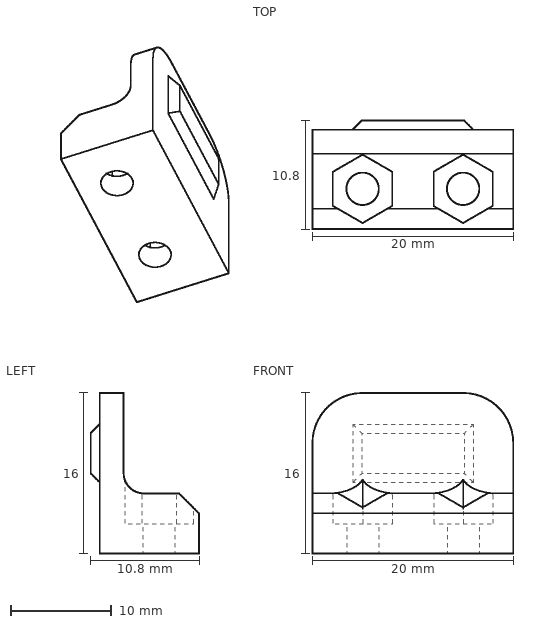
import cadquery as cq

width = 20.0
height = 16.0
total_depth = 10.8
pad_thickness = 0.9
body_depth = total_depth - pad_thickness

wall_thickness = 2.4
wall_front = body_depth - wall_thickness
wall_corner_radius = 5.0
foot_height = 6.0
foot_chamfer = 2.0
inner_fillet_radius = 2.0

hole_diameter = 3.2
hole_spacing = 10.0
hole_y = 4.0
nut_across_corners = 6.8
nut_floor = 3.0

pad_outer_width = 10.2
pad_outer_height = 4.0
pad_base_width = pad_outer_width + 2 * pad_thickness
pad_base_height = pad_outer_height + 2 * pad_thickness
pad_center_z = 10.0


def make_bracket():
    """L-shaped body with a chamfered foot, a filleted inner corner and a rounded wall top."""
    profile = (
        cq.Workplane("YZ")
        .moveTo(0, 0)
        .lineTo(body_depth, 0)
        .lineTo(body_depth, height)
        .lineTo(wall_front, height)
        .lineTo(wall_front, foot_height + inner_fillet_radius)
        .radiusArc((wall_front - inner_fillet_radius, foot_height), inner_fillet_radius)
        .lineTo(foot_chamfer, foot_height)
        .lineTo(0, foot_height - foot_chamfer)
        .close()
    )
    body = profile.extrude(width / 2, both=True)
    return body.faces(">Z").edges("|Y").fillet(wall_corner_radius)


def make_pad():
    """Rectangular frustum standing on the back face of the wall."""
    back_face = cq.Workplane("XZ", origin=(0, body_depth, pad_center_z))
    return (
        back_face.rect(pad_base_width, pad_base_height)
        .workplane(offset=-pad_thickness)
        .rect(pad_outer_width, pad_outer_height)
        .loft()
    )


def make_screw_cut(x):
    """Through hole with a nut pocket whose corners point along Y."""
    hole = cq.Workplane("XY").center(x, hole_y).circle(hole_diameter / 2).extrude(height)
    corner_angle = 90
    pocket = (
        cq.Workplane("XY", origin=(x, hole_y, nut_floor))
        .transformed(rotate=(0, 0, corner_angle))
        .polygon(6, nut_across_corners)
        .extrude(height - nut_floor)
    )
    return hole.union(pocket)


result = make_bracket().union(make_pad())
for side in (-1, 1):
    result = result.cut(make_screw_cut(side * hole_spacing / 2))